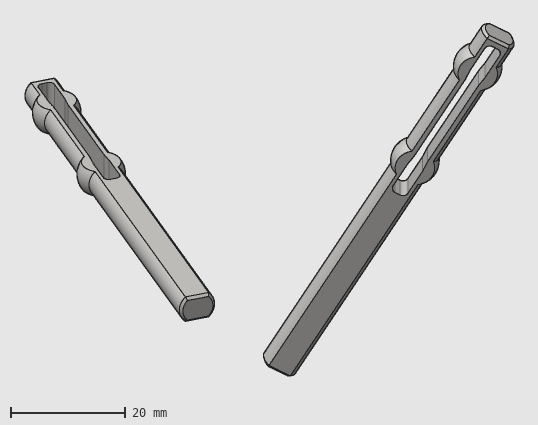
import cadquery as cq

length = 78.12
thickness = 5.0
rod_diameter = 6.6
end_chamfer = 0.5

slot_centre = 18.7
slot_length = 34.4
slot_width = 3.0
slot_waist_width = 2.6
slot_corner_radius = 1.0
taper_length = 2.1

bulge_diameter = 8.54
bulge_spacing = 22.2
bulge_centres = [slot_centre - bulge_spacing / 2, slot_centre + bulge_spacing / 2]


def make_rod():
    """Round bar cut to two parallel flats, chamfered around both ends."""
    bar = cq.Workplane("YZ").circle(rod_diameter / 2).extrude(length)
    flats = cq.Workplane("XY").box(length, rod_diameter, thickness, centered=(False, True, True))
    return bar.intersect(flats).faces("<X or >X").chamfer(end_chamfer)


def make_bulge(x):
    """Sphere on the rod axis, trimmed to the height of the flats."""
    sphere = cq.Workplane("XY").sphere(bulge_diameter / 2)
    trim = cq.Workplane("XY").box(bulge_diameter, bulge_diameter, thickness)
    return sphere.intersect(trim).translate((x, 0, 0))


def make_slot():
    """Through slot that tapers to a narrower waist between the bulge centres."""
    half_length = slot_length / 2
    half_width = slot_width / 2
    half_waist = slot_waist_width / 2
    taper_start = bulge_spacing / 2
    waist_end = taper_start - taper_length
    upper_side = [
        (-half_length, half_width),
        (-taper_start, half_width),
        (-waist_end, half_waist),
        (waist_end, half_waist),
        (taper_start, half_width),
        (half_length, half_width),
    ]
    lower_side = [(x, -y) for x, y in reversed(upper_side)]
    slot = cq.Workplane("XY").polyline(upper_side + lower_side).close().extrude(thickness / 2, both=True)
    slot = slot.edges("|Z and (<X or >X)").fillet(slot_corner_radius)
    return slot.translate((slot_centre, 0, 0))


result = make_rod()
for bulge_x in bulge_centres:
    result = result.union(make_bulge(bulge_x))
result = result.cut(make_slot())